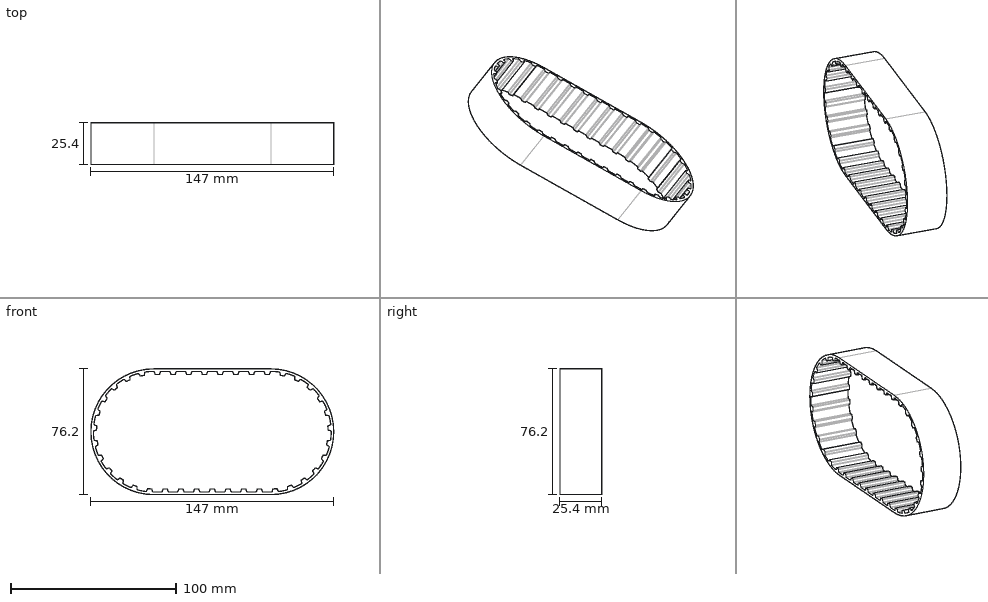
import cadquery as cq
import math

OUTER_LENGTH = 147.01
OUTER_HEIGHT = 76.2
BELT_WIDTH = 25.4
BAND_THICKNESS = 1.68

TOOTH_COUNT = 39
TOOTH_HEIGHT = 1.88
TOOTH_BASE_WIDTH = 3.95
FLANK_ANGLE = 20.0
TIP_RADIUS = 0.45
ROOT_RADIUS = 0.4
ROOT_OVERLAP = 0.5

POSITION_TOLERANCE = 0.001

OUTER_RADIUS = OUTER_HEIGHT / 2
INNER_RADIUS = OUTER_RADIUS - BAND_THICKNESS
STRAIGHT_LENGTH = OUTER_LENGTH - OUTER_HEIGHT
ARC_LENGTH = math.pi * INNER_RADIUS
TOOTH_PITCH = (2 * STRAIGHT_LENGTH + 2 * ARC_LENGTH) / TOOTH_COUNT
TOOTH_TIP_WIDTH = TOOTH_BASE_WIDTH - 2 * TOOTH_HEIGHT * math.tan(math.radians(FLANK_ANGLE))


def make_band():
    """Smooth belt loop without teeth, centred on the origin."""
    loop = cq.Workplane("XZ").slot2D(OUTER_LENGTH, OUTER_HEIGHT)
    loop = loop.slot2D(OUTER_LENGTH - 2 * BAND_THICKNESS, 2 * INNER_RADIUS)
    return loop.extrude(BELT_WIDTH / 2, both=True)


def make_tooth():
    """Tooth with its base centre at the origin, pointing along -Z."""
    half_base = TOOTH_BASE_WIDTH / 2
    half_tip = TOOTH_TIP_WIDTH / 2
    outline = [
        (-half_base, ROOT_OVERLAP),
        (-half_base, 0),
        (-half_tip, -TOOTH_HEIGHT),
        (half_tip, -TOOTH_HEIGHT),
        (half_base, 0),
        (half_base, ROOT_OVERLAP),
    ]
    tooth = cq.Workplane("XZ").polyline(outline).close().extrude(BELT_WIDTH / 2, both=True)
    return tooth.faces("<Z").edges("|Y").fillet(TIP_RADIUS)


def place_on_loop(distance):
    """Position and turn (degrees about Y) at a distance along the inner surface.

    The distance is measured from the middle of the bottom run, towards +X.
    It may be negative, and stays within half a loop either way.
    """
    side = math.copysign(1, distance)
    travelled = abs(distance)
    half_straight = STRAIGHT_LENGTH / 2
    if travelled <= half_straight:
        return side * travelled, -INNER_RADIUS, 180
    if travelled >= half_straight + ARC_LENGTH:
        return side * (STRAIGHT_LENGTH + ARC_LENGTH - travelled), INNER_RADIUS, 0
    angle = (travelled - half_straight) / INNER_RADIUS
    x = half_straight + INNER_RADIUS * math.sin(angle)
    z = -INNER_RADIUS * math.cos(angle)
    return side * x, z, 180 - side * math.degrees(angle)


def make_teeth():
    """All teeth, evenly spaced, with one at the middle of the bottom run."""
    tooth = make_tooth()
    teeth = []
    for index in range(TOOTH_COUNT):
        x, z, turn = place_on_loop((index - TOOTH_COUNT // 2) * TOOTH_PITCH)
        turned = tooth.rotate((0, 0, 0), (0, 1, 0), turn)
        teeth.append(turned.translate((x, 0, z)).val())
    return teeth


def is_root_edge(edge):
    """True for the sharp inside corners where a tooth flank meets the band."""
    centre = edge.Center()
    beyond_straight = max(abs(centre.x) - STRAIGHT_LENGTH / 2, 0)
    on_inner_surface = abs(math.hypot(beyond_straight, centre.z) - INNER_RADIUS) < POSITION_TOLERANCE
    on_run_end = abs(abs(centre.x) - STRAIGHT_LENGTH / 2) < POSITION_TOLERANCE
    return on_inner_surface and not on_run_end


def make_belt():
    """Band and teeth joined, with every tooth root filleted."""
    belt = cq.Workplane(make_band().val().fuse(*make_teeth()).clean())
    root_edges = belt.edges("|Y").filter(is_root_edge)
    return root_edges.fillet(ROOT_RADIUS)


result = make_belt()